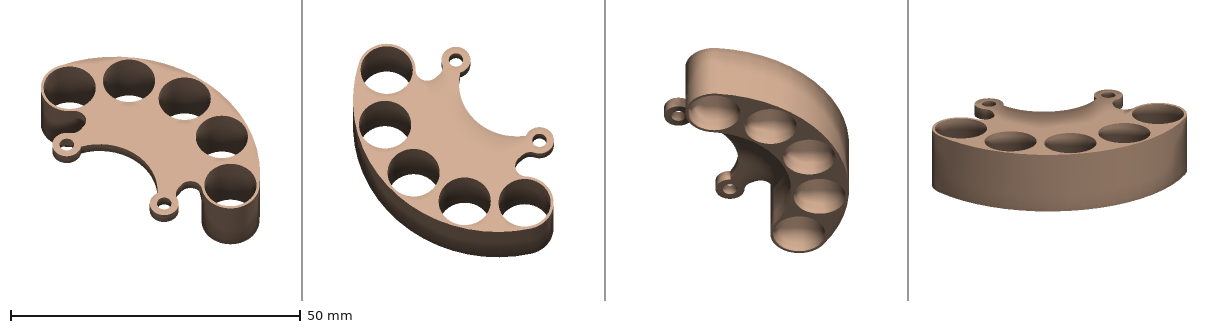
import cadquery as cq
import math

height = 10.6
plate_thickness = 2.0
pitch_radius = 20.0
pocket_angles = (30, 60, 90, 120, 150)
pocket_radius = 4.5
lobe_radius = 5.0
ear_x = 10.5
ear_radius = 2.5
ear_hole_radius = 1.25
fillet_radius = 2.0
relief_radius = 10.0
relief_top = 5.45

pocket_centres = [
    (pitch_radius * math.cos(math.radians(a)), pitch_radius * math.sin(math.radians(a)))
    for a in pocket_angles
]
right_end = pocket_centres[0]
left_end = pocket_centres[-1]
ear_centres = [(-ear_x, 0), (ear_x, 0)]
plate_bottom = height - plate_thickness


def mirrored(point):
    return (-point[0], point[1])


def point_toward(start, end, distance):
    """Point at a distance from start along the line to end."""
    ratio = distance / math.dist(start, end)
    return (start[0] + ratio * (end[0] - start[0]), start[1] + ratio * (end[1] - start[1]))


def curved_body():
    """Arc-shaped band with a round lobe at each end."""
    outer = pitch_radius + lobe_radius
    inner = pitch_radius - lobe_radius
    angle = math.radians(pocket_angles[0])
    outer_end = (outer * math.cos(angle), outer * math.sin(angle))
    inner_end = (inner * math.cos(angle), inner * math.sin(angle))
    band = (
        cq.Workplane("XY")
        .moveTo(*outer_end)
        .threePointArc((0, outer), mirrored(outer_end))
        .lineTo(*mirrored(inner_end))
        .threePointArc((0, inner), inner_end)
        .close()
        .extrude(height)
    )
    lobes = cq.Workplane("XY").pushPoints([right_end, left_end]).circle(lobe_radius).extrude(height)
    return band.union(lobes)


def mounting_plate():
    """Thin web inside the band, with filleted side notches and two ears."""
    fillet_x = ear_x + fillet_radius
    upper_drop = math.sqrt((lobe_radius + fillet_radius) ** 2 - (right_end[0] - fillet_x) ** 2)
    upper_centre = (fillet_x, right_end[1] - upper_drop)
    lower_centre = (fillet_x, math.sqrt((ear_radius + fillet_radius) ** 2 - fillet_radius ** 2))
    upper_start = point_toward(right_end, upper_centre, lobe_radius)
    upper_end = (ear_x, upper_centre[1])
    lower_start = (ear_x, lower_centre[1])
    lower_end = point_toward((ear_x, 0), lower_centre, ear_radius)
    upper_chord_middle = ((upper_start[0] + upper_end[0]) / 2, (upper_start[1] + upper_end[1]) / 2)
    lower_chord_middle = ((lower_start[0] + lower_end[0]) / 2, (lower_start[1] + lower_end[1]) / 2)
    upper_middle = point_toward(upper_centre, upper_chord_middle, fillet_radius)
    lower_middle = point_toward(lower_centre, lower_chord_middle, fillet_radius)

    web = (
        cq.Workplane("XY", origin=(0, 0, plate_bottom))
        .moveTo(*right_end)
        .lineTo(*upper_start)
        .threePointArc(upper_middle, upper_end)
        .lineTo(*lower_start)
        .threePointArc(lower_middle, lower_end)
        .lineTo(ear_x, 0)
        .lineTo(-ear_x, 0)
        .lineTo(*mirrored(lower_end))
        .threePointArc(mirrored(lower_middle), mirrored(lower_start))
        .lineTo(*mirrored(upper_end))
        .threePointArc(mirrored(upper_middle), mirrored(upper_start))
        .lineTo(*left_end)
        .threePointArc((0, pitch_radius), right_end)
        .close()
        .extrude(plate_thickness)
    )
    relief = (
        cq.Workplane("XY", origin=(0, relief_top - relief_radius, plate_bottom))
        .circle(relief_radius)
        .extrude(plate_thickness)
    )
    ears = (
        cq.Workplane("XY", origin=(0, 0, plate_bottom))
        .pushPoints(ear_centres)
        .circle(ear_radius)
        .extrude(plate_thickness)
    )
    return web.cut(relief).union(ears)


def through_holes(centres, radius):
    return cq.Workplane("XY").pushPoints(centres).circle(radius).extrude(height)


result = (
    curved_body()
    .union(mounting_plate())
    .cut(through_holes(pocket_centres, pocket_radius))
    .cut(through_holes(ear_centres, ear_hole_radius))
)